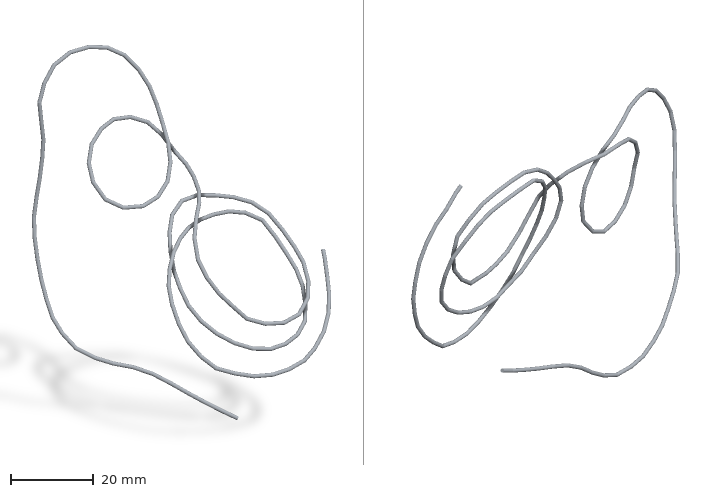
import cadquery as cq

wire_radius = 0.5


lower_tail = [
    (4.1, 11.1, -44.1), (3.2, 7.7, -42.4), (1.25, 3.7, -40.2), (-0.45, 0.1, -38.2),
    (-2.85, -3.6, -36.0), (-4.7, -7.85, -33.6), (-6.15, -12.4, -31.9), (-7.1, -17.0, -30.85),
    (-8.0, -21.4, -29.25), (-9.6, -25.7, -26.9),
]

rise = [
    (-12.2, -28.45, -23.5), (-14.6, -30.05, -20.2), (-17.1, -30.9, -15.9), (-19.1, -31.6, -11.5),
    (-20.4, -32.1, -6.7), (-21.8, -32.4, -1.8), (-22.9, -32.2, 3.1), (-23.3, -31.4, 8.0),
    (-23.3, -30.6, 12.8), (-23.3, -30.0, 17.75), (-23.2, -29.7, 22.5), (-22.9, -30.3, 27.5),
    (-22.7, -30.85, 32.2),
]

top_arch = [
    (-23.45, -29.3, 36.8), (-24.6, -26.5, 40.75), (-25.6, -22.1, 43.25), (-25.95, -17.2, 44.05),
    (-26.0, -12.6, 43.4), (-25.8, -8.2, 41.1), (-25.1, -4.8, 37.4), (-23.8, -2.5, 33.3),
    (-22.65, -1.0, 28.8), (-20.7, -0.1, 24.4),
]

small_loop = [
    (-17.75, 0.4, 20.4), (-14.9, 0.0, 16.4), (-12.1, -1.6, 12.6), (-9.8, -4.8, 9.6),
    (-8.3, -9.1, 8.1), (-8.6, -14.0, 8.1), (-9.5, -18.3, 10.3), (-11.4, -20.8, 14.4),
    (-13.8, -21.1, 18.55), (-16.2, -19.6, 22.5), (-18.55, -16.4, 25.4), (-21.3, -12.4, 26.6),
    (-22.8, -7.7, 26.2), (-23.1, -3.1, 24.3), (-22.2, 0.1, 21.2),
]

inner_turn = [
    (-19.0, 2.4, 17.7), (-14.9, 4.0, 15.5), (-10.3, 4.5, 13.7), (-5.6, 4.3, 11.5),
    (-2.05, 3.2, 9.6), (1.3, 1.3, 6.7), (4.7, -0.2, 3.0), (7.9, -0.3, -1.5),
    (10.2, 1.25, -5.4), (11.7, 3.9, -9.4), (12.5, 7.1, -12.7), (12.75, 10.6, -16.05),
    (12.9, 15.25, -17.75), (12.75, 20.1, -18.0), (11.15, 24.4, -16.8), (8.6, 27.5, -13.7),
    (4.8, 28.8, -10.8), (1.25, 28.7, -7.0), (-1.6, 27.4, -3.8), (-4.5, 25.2, -0.2),
    (-6.95, 22.5, 3.6), (-8.8, 18.8, 6.15),
]

middle_turn = [
    (-9.4, 14.3, 7.8), (-9.0, 9.45, 8.8), (-8.3, 4.7, 9.5), (-6.7, 0.3, 9.0),
    (-3.75, -3.1, 6.7), (-0.3, -4.9, 3.5), (3.5, -5.9, 0.1), (6.9, -6.1, -4.1),
    (10.1, -5.5, -7.5), (12.7, -4.2, -11.3), (15.1, -1.7, -14.8), (16.9, 1.7, -17.75),
    (18.4, 5.7, -20.1), (18.9, 10.25, -21.8), (18.55, 14.9, -22.4), (16.6, 19.3, -22.1),
    (13.7, 23.2, -21.0), (10.6, 26.0, -18.9), (6.4, 27.55, -15.9), (2.8, 28.0, -12.4),
    (-0.2, 27.3, -9.0), (-3.2, 25.8, -5.7), (-6.3, 24.0, -2.3), (-9.1, 21.6, 1.25),
    (-9.4, 17.3, 3.5),
]

outer_turn = [
    (-8.2, 12.8, 4.6), (-5.8, 8.2, 5.1), (-3.2, 3.9, 5.0), (0.0, -0.1, 4.3),
    (3.2, -3.3, 2.85), (6.7, -6.1, 0.7), (10.1, -8.2, -2.4), (13.5, -9.5, -5.5),
    (16.5, -9.6, -9.3), (19.4, -8.8, -13.5), (21.9, -7.3, -17.3), (24.2, -4.7, -20.7),
    (25.7, -1.3, -23.5), (25.95, 3.4, -25.2), (26.0, 8.2, -26.4), (25.7, 13.0, -26.6),
    (24.4, 17.6, -26.0), (22.8, 22.0, -24.7), (20.8, 25.3, -22.6), (18.3, 28.45, -19.35),
    (15.3, 30.6, -15.7), (12.4, 31.65, -11.9), (9.3, 32.2, -8.5), (6.7, 32.4, -4.55),
    (5.35, 32.4, -2.85),
]

centre_line_points = (
    lower_tail + rise + top_arch + small_loop + inner_turn + middle_turn + outer_turn
)


def bent_wire(points, radius):
    """Round bar swept along straight pieces between the points, mitred at each corner."""
    start = cq.Vector(*points[0])
    first_direction = cq.Vector(*points[1]) - start
    centre_line = cq.Workplane("XY").polyline(points)
    end_face = cq.Plane(origin=start, normal=first_direction)
    return cq.Workplane(end_face).circle(radius).sweep(centre_line, transition="right")


result = bent_wire(centre_line_points, wire_radius)